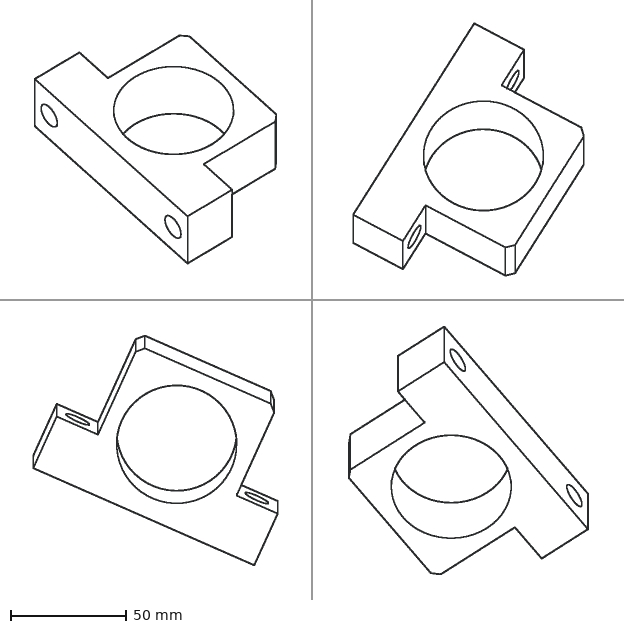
import cadquery as cq

base_width = 105.0
total_depth = 68.0
height = 30.0

base_depth = 25.0
housing_width = 65.8
corner_chamfer = 3.0

bore_diameter = 52.0
bore_from_front = 35.0

hole_diameter = 11.0
hole_spacing = 85.0

front_y = -total_depth / 2
bottom_z = -height / 2


def block(width, depth):
    """Full-height block centred in X, with its front face on the base front."""
    return cq.Workplane("XY", origin=(0, front_y + depth / 2, 0)).box(width, depth, height)


base = block(base_width, base_depth)
housing = block(housing_width, total_depth).edges("|Z and >Y").chamfer(corner_chamfer)

bore = (
    cq.Workplane("XY", origin=(0, front_y + bore_from_front, bottom_z))
    .circle(bore_diameter / 2)
    .extrude(height)
)

mounting_holes = (
    cq.Workplane("XZ", origin=(0, front_y, 0))
    .pushPoints([(-hole_spacing / 2, 0), (hole_spacing / 2, 0)])
    .circle(hole_diameter / 2)
    .extrude(-base_depth)
)

result = base.union(housing).cut(bore).cut(mounting_holes)